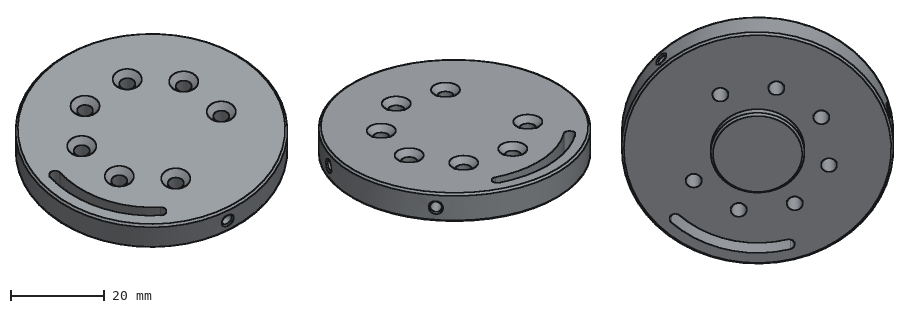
import cadquery as cq
import math

disc_diameter = 58.0
disc_thickness = 7.0
edge_chamfer = 0.5

boss_diameter = 20.0
boss_height = 2.0

bolt_circle_diameter = 31.5
bolt_positions = 8
screw_hole_diameter = 3.4
countersink_diameter = 6.2
countersink_angle = 90.0

slot_width = 2.5
slot_outer_radius = 26.0
slot_radius = slot_outer_radius - slot_width / 2
slot_middle_angle = -90.0
slot_end_spacing = 25.0
slot_half_angle = math.degrees(math.asin(slot_end_spacing / 2 / slot_radius))

rim_hole_diameter = 2.5
rim_hole_mouth_diameter = 3.2
rim_hole_depth = 10.0
rim_hole_angles = (30.0, 150.0, 210.0, 330.0)

disc_radius = disc_diameter / 2


def polar_point(radius, angle):
    """Point in the XY plane at a radius and an angle in degrees from +X."""
    radians = math.radians(angle)
    return (radius * math.cos(radians), radius * math.sin(radians))


def make_body():
    """Chamfered disc with the chamfered boss under it."""
    disc = cq.Workplane("XY").circle(disc_radius).extrude(disc_thickness)
    disc = disc.edges().chamfer(edge_chamfer)
    boss = cq.Workplane("XY").circle(boss_diameter / 2).extrude(-boss_height)
    boss = boss.faces("<Z").edges().chamfer(edge_chamfer)
    return disc.union(boss)


def cut_screw_holes(body):
    """Countersunk through holes at every bolt position except the one on +X."""
    pitch_angle = 360.0 / bolt_positions
    bolt_radius = bolt_circle_diameter / 2
    centres = [polar_point(bolt_radius, i * pitch_angle) for i in range(1, bolt_positions)]
    top = cq.Workplane("XY", origin=(0, 0, disc_thickness)).add(body)
    top = top.pushPoints(centres)
    return top.cskHole(screw_hole_diameter, countersink_diameter, countersink_angle)


def make_arc_slot():
    """Cutter for the round-ended slot that follows an arc about the disc axis."""
    inner_radius = slot_radius - slot_width / 2
    start_angle = slot_middle_angle - slot_half_angle
    end_angle = slot_middle_angle + slot_half_angle
    start_bulge = polar_point(slot_width / 2, start_angle - 90)
    end_bulge = polar_point(slot_width / 2, end_angle + 90)
    start_centre = polar_point(slot_radius, start_angle)
    end_centre = polar_point(slot_radius, end_angle)
    start_cap = (start_centre[0] + start_bulge[0], start_centre[1] + start_bulge[1])
    end_cap = (end_centre[0] + end_bulge[0], end_centre[1] + end_bulge[1])
    return (
        cq.Workplane("XY")
        .moveTo(*polar_point(slot_outer_radius, start_angle))
        .threePointArc(
            polar_point(slot_outer_radius, slot_middle_angle),
            polar_point(slot_outer_radius, end_angle),
        )
        .threePointArc(end_cap, polar_point(inner_radius, end_angle))
        .threePointArc(
            polar_point(inner_radius, slot_middle_angle),
            polar_point(inner_radius, start_angle),
        )
        .threePointArc(start_cap, polar_point(slot_outer_radius, start_angle))
        .close()
        .extrude(disc_thickness)
    )


def make_rim_hole(angle):
    """Cutter for one blind radial hole with a 45 degree lead-in at the rim."""
    hole_radius = rim_hole_diameter / 2
    mouth_radius = rim_hole_mouth_diameter / 2
    lead_in = mouth_radius - hole_radius
    bottom = disc_radius - rim_hole_depth
    return (
        cq.Workplane("XY")
        .moveTo(bottom, 0)
        .lineTo(bottom, hole_radius)
        .lineTo(disc_radius - lead_in, hole_radius)
        .lineTo(disc_radius, mouth_radius)
        .lineTo(disc_radius, 0)
        .close()
        .revolve(360, (0, 0, 0), (1, 0, 0))
        .rotate((0, 0, 0), (0, 0, 1), angle)
        .translate((0, 0, disc_thickness / 2))
    )


result = cut_screw_holes(make_body())
result = result.cut(make_arc_slot())
for rim_hole_angle in rim_hole_angles:
    result = result.cut(make_rim_hole(rim_hole_angle))